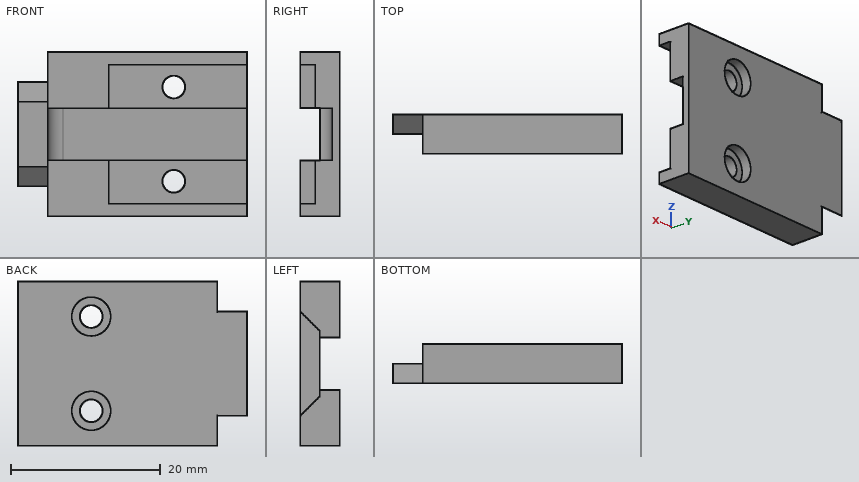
import cadquery as cq

total_length = 30.65
body_depth = 5.3
body_height = 22.0

tongue_length = 3.98
tongue_depth = body_depth / 2
tongue_back_height = 13.98
tongue_front_height = tongue_back_height - 2 * tongue_depth

channel_height = 7.0
channel_floor = 1.0
ramp_length = 2.0
ramp_radius = 2.0

recess_length = 18.48
recess_height = 18.6
recess_depth = 2.0

hole_diameter = 3.0
hole_spacing = 12.6
hole_end_distance = 9.8
counterbore_diameter = 5.2
counterbore_depth = 1.53

body_length = total_length - tongue_length


def block(x_start, x_end, y_front, y_back, height):
    """Box between the given X and Y limits, centred on z = 0."""
    return (
        cq.Workplane("XY")
        .box(x_end - x_start, y_back - y_front, height, centered=(False, False, True))
        .translate((x_start, y_front, 0))
    )


def make_tongue():
    """Trapezoidal bar, widest at the back."""
    half_back = tongue_back_height / 2
    half_front = tongue_front_height / 2
    outline = [
        (0, -half_back),
        (0, half_back),
        (-tongue_depth, half_front),
        (-tongue_depth, -half_front),
    ]
    return cq.Workplane("YZ").polyline(outline).close().extrude(-tongue_length)


def make_channel():
    """Channel cutter whose floor starts at the tongue face and curves down."""
    return (
        cq.Workplane("XY")
        .workplane(offset=-channel_height / 2)
        .moveTo(0, -body_depth)
        .lineTo(0, -tongue_depth)
        .radiusArc((ramp_length, -channel_floor), ramp_radius)
        .lineTo(body_length, -channel_floor)
        .lineTo(body_length, -body_depth)
        .close()
        .extrude(channel_height)
    )


def make_holes():
    """Pair of round cutters through the full depth, counterbored from the back."""
    hole_x = body_length - hole_end_distance
    centers = [(hole_x, side * hole_spacing / 2) for side in (-1, 1)]
    layout = cq.Workplane("XZ").pushPoints(centers)
    bores = layout.circle(hole_diameter / 2).extrude(body_depth)
    counterbores = layout.circle(counterbore_diameter / 2).extrude(counterbore_depth)
    return bores.union(counterbores)


body = block(0, body_length, -body_depth, 0, body_height)
recess = block(
    body_length - recess_length,
    body_length,
    -body_depth,
    recess_depth - body_depth,
    recess_height,
)
result = body.union(make_tongue()).cut(make_channel()).cut(recess).cut(make_holes())